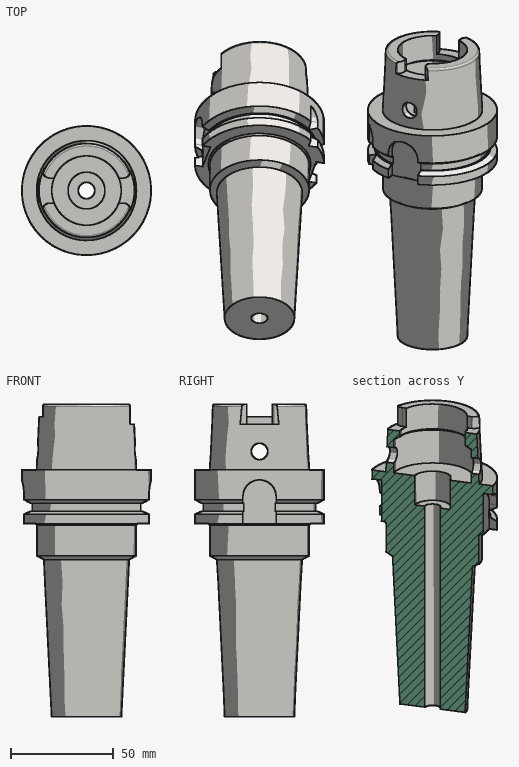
import cadquery as cq
import math

TOTAL_LENGTH = 152.0
SHANK_LENGTH = 31.9
FLANGE_HEIGHT = 26.1
FLANGE_TOP = TOTAL_LENGTH - SHANK_LENGTH
FLANGE_BOTTOM = FLANGE_TOP - FLANGE_HEIGHT

NOSE_TIP_RADIUS = 17.0
NOSE_ROOT_RADIUS = 20.8
NOSE_LENGTH = 76.5
COLLAR_RADIUS = 24.2
COLLAR_CHAMFER_HEIGHT = 1.8
COLLAR_ROOT = 0.8

FLANGE_RADIUS = 31.5
GROOVE_RADIUS = 27.5
GROOVE_LAND_BELOW = 4.5
GROOVE_FLOOR_HEIGHT = 3.8
GROOVE_FLANK_LOWER = 1.5
GROOVE_FLANK_UPPER = 1.8
GROOVE_LEDGE = 0.8

SHANK_ROOT_RADIUS = 24.3
SHANK_MOUTH_RADIUS = 22.8
MOUTH_FILLET = 1.0
LIP_RADIUS = 16.9
LIP_DEPTH = 12.9
CAVITY_RADIUS = 20.0
CAVITY_DEPTH = SHANK_LENGTH
CLAMP_CONE_ANGLE = math.radians(60)
SOCKET_RADIUS = 9.0
SOCKET_DEPTH = 15.2
THROUGH_RADIUS = 4.0
CROSS_HOLE_RADIUS = 4.0
CROSS_HOLE_DEPTH = 23.0

DRIVE_HALF_WIDTH = 6.1
DRIVE_CORNER_RADIUS = 3.3
DRIVE_CORNER_X = 18.0
DRIVE_DEPTH_MINUS_X = 6.1
DRIVE_DEPTH_PLUS_X = 9.7

KEYWAY_RADIUS = 8.0
KEYWAY_FLOOR_X = 26.5
KEYWAY_TOP = FLANGE_TOP - 4.9
NOTCH_WALL_Y = 19.9
NOTCH_FLOOR_X = 19.9
NOTCH_RADIUS = 6.0
NOTCH_TOP = FLANGE_TOP - 4.9


def revolved(points):
    """Solid of revolution about Z from (radius, height) points."""
    return cq.Workplane("XZ").polyline(points).close().revolve(360, (0, 0, 0), (0, 1, 0))


def outer_body():
    groove_low = FLANGE_BOTTOM + GROOVE_LAND_BELOW
    floor_low = groove_low + GROOVE_FLANK_LOWER
    floor_high = floor_low + GROOVE_FLOOR_HEIGHT
    body = revolved([
        (0, 0),
        (NOSE_TIP_RADIUS, 0),
        (NOSE_ROOT_RADIUS, NOSE_LENGTH),
        (COLLAR_RADIUS, NOSE_LENGTH + COLLAR_CHAMFER_HEIGHT),
        (COLLAR_RADIUS, FLANGE_BOTTOM - COLLAR_ROOT),
        (COLLAR_RADIUS + COLLAR_ROOT, FLANGE_BOTTOM),
        (FLANGE_RADIUS, FLANGE_BOTTOM),
        (FLANGE_RADIUS, groove_low),
        (GROOVE_RADIUS + GROOVE_LEDGE, floor_low),
        (GROOVE_RADIUS, floor_low),
        (GROOVE_RADIUS, floor_high),
        (GROOVE_RADIUS + GROOVE_LEDGE, floor_high),
        (FLANGE_RADIUS, floor_high + GROOVE_FLANK_UPPER),
        (FLANGE_RADIUS, FLANGE_TOP),
        (SHANK_ROOT_RADIUS, FLANGE_TOP),
        (SHANK_MOUTH_RADIUS, TOTAL_LENGTH),
        (0, TOTAL_LENGTH),
    ])
    return body.faces(">Z").edges().fillet(MOUTH_FILLET)


def inner_bore():
    """Lip, undercut with clamping cone, socket and central through hole."""
    lip_z = TOTAL_LENGTH - LIP_DEPTH
    cone_height = (CAVITY_RADIUS - LIP_RADIUS) / math.tan(CLAMP_CONE_ANGLE)
    cavity_z = TOTAL_LENGTH - CAVITY_DEPTH
    socket_z = cavity_z - SOCKET_DEPTH
    return revolved([
        (0, 0),
        (THROUGH_RADIUS, 0),
        (THROUGH_RADIUS, socket_z),
        (SOCKET_RADIUS, socket_z),
        (SOCKET_RADIUS, cavity_z),
        (CAVITY_RADIUS, cavity_z),
        (CAVITY_RADIUS, lip_z - cone_height),
        (LIP_RADIUS, lip_z),
        (LIP_RADIUS, TOTAL_LENGTH),
        (0, TOTAL_LENGTH),
    ])


def cross_hole():
    return (
        cq.Workplane("YZ")
        .center(0, TOTAL_LENGTH - CROSS_HOLE_DEPTH)
        .circle(CROSS_HOLE_RADIUS)
        .extrude(FLANGE_RADIUS, both=True)
    )


def drive_slot(side, depth):
    """Mouth slot on one X side (+1 or -1), flared by rounded outer corners."""
    flare_x = DRIVE_CORNER_X + DRIVE_CORNER_RADIUS
    flare_y = DRIVE_HALF_WIDTH + DRIVE_CORNER_RADIUS
    arc_offset = DRIVE_CORNER_RADIUS * math.sin(math.radians(45))
    arc_x = DRIVE_CORNER_X + arc_offset
    arc_y = flare_y - arc_offset
    return (
        cq.Workplane("XY", origin=(0, 0, TOTAL_LENGTH - depth))
        .moveTo(0, -DRIVE_HALF_WIDTH)
        .lineTo(side * DRIVE_CORNER_X, -DRIVE_HALF_WIDTH)
        .threePointArc((side * arc_x, -arc_y), (side * flare_x, -flare_y))
        .lineTo(side * FLANGE_RADIUS, -flare_y)
        .lineTo(side * FLANGE_RADIUS, flare_y)
        .lineTo(side * flare_x, flare_y)
        .threePointArc((side * arc_x, arc_y), (side * DRIVE_CORNER_X, DRIVE_HALF_WIDTH))
        .lineTo(0, DRIVE_HALF_WIDTH)
        .close()
        .extrude(depth)
    )


def flange_slot(side, floor_x, center_y, radius, top):
    """Round-topped slot cut along X into one side of the flange, open below."""
    arc_z = top - radius
    return (
        cq.Workplane("YZ", origin=(side * floor_x, 0, 0))
        .moveTo(center_y - radius, FLANGE_BOTTOM)
        .lineTo(center_y - radius, arc_z)
        .threePointArc((center_y, top), (center_y + radius, arc_z))
        .lineTo(center_y + radius, FLANGE_BOTTOM)
        .close()
        .extrude(side * FLANGE_RADIUS)
    )


result = outer_body().cut(inner_bore()).cut(cross_hole())

for side, depth in ((-1, DRIVE_DEPTH_MINUS_X), (1, DRIVE_DEPTH_PLUS_X)):
    result = result.cut(drive_slot(side, depth))
    result = result.cut(flange_slot(side, KEYWAY_FLOOR_X, 0, KEYWAY_RADIUS, KEYWAY_TOP))

notch_center_y = NOTCH_WALL_Y + NOTCH_RADIUS
result = result.cut(flange_slot(-1, NOTCH_FLOOR_X, notch_center_y, NOTCH_RADIUS, NOTCH_TOP))